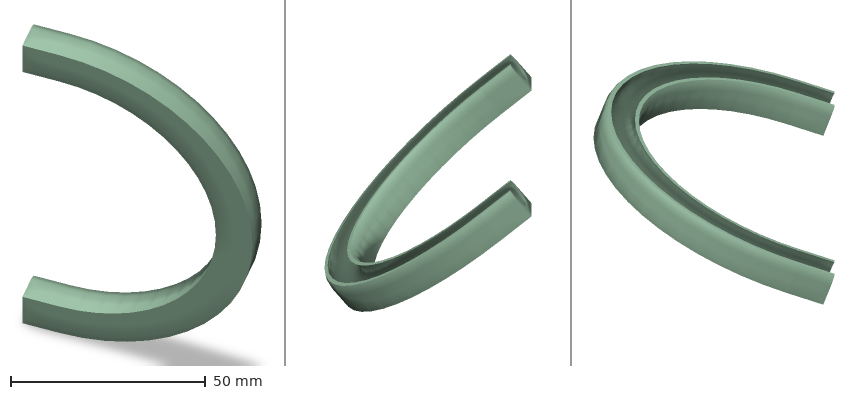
import cadquery as cq
import math

outer_radius = 52.7
bar_width = 10.0
bar_depth = 8.5
leg_length = 10.0
lip_depth = 2.5
groove_radius = 4.1

half_width = bar_width / 2
centerline_radius = outer_radius - half_width
flat_depth = bar_depth - lip_depth
lip_tip_half_width = math.sqrt(half_width**2 - lip_depth**2)
flank_mid_angle = math.asin(lip_depth / half_width) / 2
flank_mid_half_width = half_width * math.cos(flank_mid_angle)
flank_mid_depth = flat_depth + half_width * math.sin(flank_mid_angle)


def section(workplane):
    """Draw the bar section, flat back at local Y = 0 and lips toward +Y."""
    return (
        workplane
        .moveTo(-half_width, 0)
        .lineTo(half_width, 0)
        .lineTo(half_width, flat_depth)
        .threePointArc((flank_mid_half_width, flank_mid_depth), (lip_tip_half_width, bar_depth))
        .lineTo(-lip_tip_half_width, bar_depth)
        .threePointArc((-flank_mid_half_width, flank_mid_depth), (-half_width, flat_depth))
        .close()
    )


def groove_section(workplane):
    """Draw the round groove, which breaks out through the +Y face."""
    return workplane.center(0, flat_depth).circle(groove_radius)


def section_plane(z):
    """Plane across the bar where a leg meets the bend: local X is -Z, local Y is +Y."""
    return cq.Workplane(cq.Plane(origin=(0, 0, z), xDir=(0, 0, -1), normal=(1, 0, 0)))


def sweep_hoop(draw):
    """Carry a section around the half-circle bend and along both straight legs."""
    hoop = draw(section_plane(centerline_radius)).revolve(
        180, (centerline_radius, 0), (centerline_radius, 1)
    )
    for z in (centerline_radius, -centerline_radius):
        hoop = hoop.union(draw(section_plane(z)).extrude(-leg_length))
    return hoop


result = sweep_hoop(section).cut(sweep_hoop(groove_section))